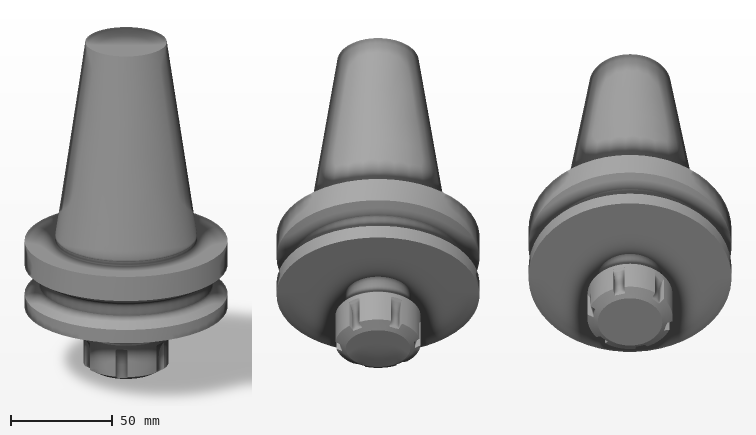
import cadquery as cq
import math


gauge_diameter = 69.85
taper_length = 101.8
taper_ratio = 7 / 24
taper_end_radius = (gauge_diameter - taper_ratio * taper_length) / 2
gauge_land = 0.5
gauge_chamfer_height = 0.5
collar_diameter = 69.5

flange_diameter = 99.96
flange_top_z = -3.0
flange_thickness = 35.0
flange_bottom_z = flange_top_z - flange_thickness
collar_fillet = 0.75
groove_diameter = 85.0
groove_centre_z = -23.35
groove_floor_width = 6.6
groove_root_fillet = 0.6
groove_wall_slope = math.radians(30)
groove_depth = (flange_diameter - groove_diameter) / 2
groove_mouth_width = groove_floor_width + 2 * groove_depth * math.tan(groove_wall_slope)

neck_diameter = 32.0
nut_diameter = 42.0
nut_bottom_z = -70.0
nut_length = 20.0
nut_top_z = nut_bottom_z + nut_length
nut_top_chamfer = 0.5
nose_diameter = 31.8
nose_slope = math.radians(30)
nose_height = (nut_diameter - nose_diameter) / 2 * math.tan(nose_slope)

slot_count = 6
slot_width = 6.0
slot_floor_radius = 18.0
slot_bend_z = -61.0
slot_top_z = -52.6
slot_corner_fillet = 1.0
first_slot_angle = -90


def make_shank():
    """Taper and the slightly smaller collar that joins it to the flange, with a fillet at its foot."""
    collar_radius = collar_diameter / 2
    gauge_radius = gauge_diameter / 2
    profile = (
        cq.Workplane("XZ")
        .moveTo(0, taper_length)
        .lineTo(taper_end_radius, taper_length)
        .lineTo(gauge_radius, 0)
        .lineTo(gauge_radius, -gauge_land)
        .lineTo(collar_radius, -gauge_land - gauge_chamfer_height)
        .lineTo(collar_radius, flange_top_z + collar_fillet)
        .radiusArc((collar_radius + collar_fillet, flange_top_z), -collar_fillet)
        .lineTo(0, flange_top_z)
        .close()
    )
    return profile.revolve(360, (0, 0, 0), (0, 1, 0))


def make_flange():
    """Disc with a V-shaped groove around its rim."""
    outer_radius = flange_diameter / 2
    floor_radius = groove_diameter / 2
    half_mouth = groove_mouth_width / 2
    half_floor = groove_floor_width / 2
    profile = (
        cq.Workplane("XZ")
        .moveTo(0, flange_top_z)
        .lineTo(outer_radius, flange_top_z)
        .lineTo(outer_radius, groove_centre_z + half_mouth)
        .lineTo(floor_radius, groove_centre_z + half_floor)
        .lineTo(floor_radius, groove_centre_z - half_floor)
        .lineTo(outer_radius, groove_centre_z - half_mouth)
        .lineTo(outer_radius, flange_bottom_z)
        .lineTo(0, flange_bottom_z)
        .close()
    )
    flange = profile.revolve(360, (0, 0, 0), (0, 1, 0))
    return flange.edges(cq.selectors.RadiusNthSelector(0)).fillet(groove_root_fillet)


def make_neck():
    """Plain cylinder between the flange and the nut."""
    neck_length = flange_bottom_z - nut_top_z
    return cq.Workplane("XY", origin=(0, 0, nut_top_z)).circle(neck_diameter / 2).extrude(neck_length)


def make_slot_cutter(angle):
    """Cutter with radial side walls and a straight floor that curves out at its top end.

    Its top corners are rounded where it breaks through the nut's side.
    """
    nut_radius = nut_diameter / 2
    run_out_height = slot_top_z - slot_bend_z
    depth = nut_radius - slot_floor_radius
    bend_radius = (run_out_height**2 + depth**2) / (2 * depth)
    outer_reach = nut_diameter
    half_width_at_reach = slot_width / 2 * outer_reach / nut_radius
    side_profile = (
        cq.Workplane("XZ")
        .moveTo(outer_reach, nut_bottom_z)
        .lineTo(slot_floor_radius, nut_bottom_z)
        .lineTo(slot_floor_radius, slot_bend_z)
        .radiusArc((nut_radius, slot_top_z), bend_radius)
        .lineTo(outer_reach, slot_top_z)
        .close()
        .extrude(half_width_at_reach, both=True)
    )
    wedge = (
        cq.Workplane("XY", origin=(0, 0, nut_bottom_z))
        .polyline([(0, 0), (outer_reach, half_width_at_reach), (outer_reach, -half_width_at_reach)])
        .close()
        .extrude(nut_length)
    )
    window = (
        cq.Workplane("XY", origin=(0, 0, nut_bottom_z))
        .rect(2 * outer_reach, slot_width)
        .extrude(slot_top_z - nut_bottom_z)
        .edges("|X and >Z")
        .fillet(slot_corner_fillet)
    )
    cutter = side_profile.intersect(wedge).intersect(window)
    return cutter.rotate((0, 0, 0), (0, 0, 1), angle)


def make_nut():
    """Round nut with a conical nose and evenly spaced spanner slots."""
    nut_radius = nut_diameter / 2
    profile = (
        cq.Workplane("XZ")
        .moveTo(0, nut_top_z)
        .lineTo(nut_radius - nut_top_chamfer, nut_top_z)
        .lineTo(nut_radius, nut_top_z - nut_top_chamfer)
        .lineTo(nut_radius, nut_bottom_z + nose_height)
        .lineTo(nose_diameter / 2, nut_bottom_z)
        .lineTo(0, nut_bottom_z)
        .close()
    )
    nut = profile.revolve(360, (0, 0, 0), (0, 1, 0))
    for index in range(slot_count):
        nut = nut.cut(make_slot_cutter(first_slot_angle + index * 360 / slot_count))
    return nut


result = make_shank().union(make_flange()).union(make_neck()).union(make_nut())